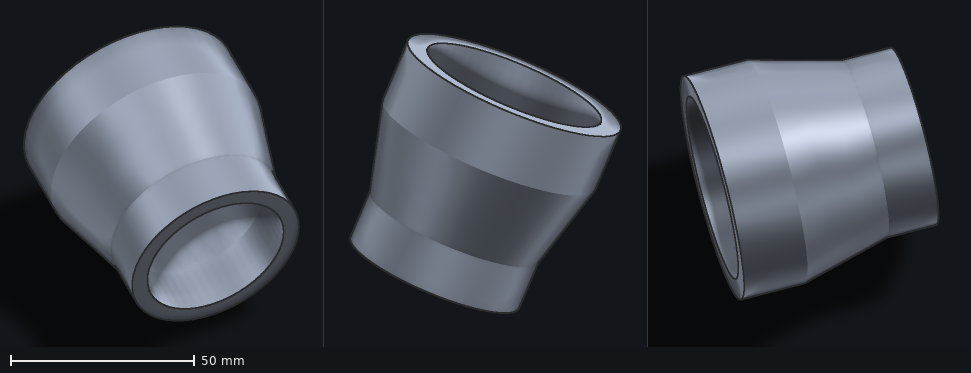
import cadquery as cq

large_outer_diameter = 63.0
large_bore_diameter = 51.4
small_outer_diameter = 50.0
small_bore_diameter = 40.8

large_end_length = 18.0
taper_length = 25.0
small_end_length = 14.0

taper_start = large_end_length
taper_end = taper_start + taper_length
total_length = taper_end + small_end_length


def stepped_taper(large_diameter, small_diameter):
    """Solid of revolution about X: large cylinder, cone, small cylinder."""
    large_radius = large_diameter / 2
    small_radius = small_diameter / 2
    half_outline = [
        (0, 0),
        (0, large_radius),
        (taper_start, large_radius),
        (taper_end, small_radius),
        (total_length, small_radius),
        (total_length, 0),
    ]
    return (
        cq.Workplane("XY")
        .polyline(half_outline)
        .close()
        .revolve(360, (0, 0, 0), (1, 0, 0))
    )


body = stepped_taper(large_outer_diameter, small_outer_diameter)
bore = stepped_taper(large_bore_diameter, small_bore_diameter)

result = body.cut(bore)